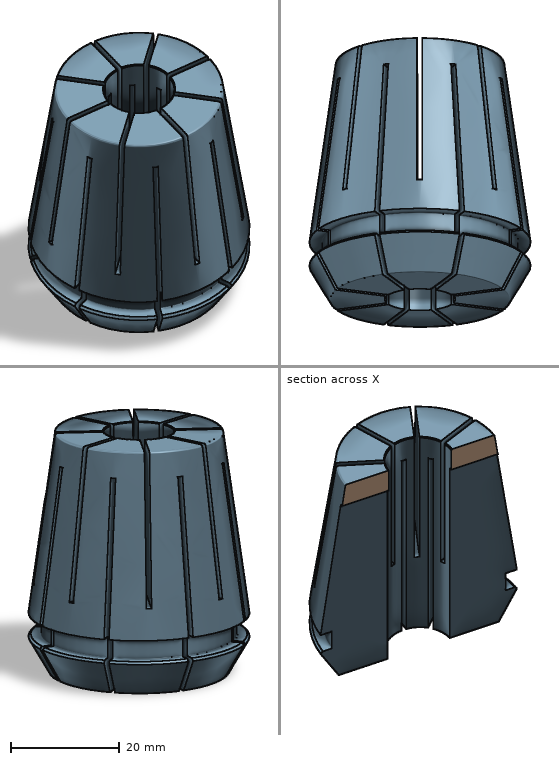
import cadquery as cq
import math

height = 46.0
max_radius = 41.0 / 2
bore_radius = 13.0 / 2
bore_chamfer = 0.2

taper_angle = 8.0
taper_bottom_z = 11.15
top_fillet = 0.5
top_radius = max_radius - (height - taper_bottom_z) * math.tan(math.radians(taper_angle))

groove_radius = 18.12
groove_bottom_z = 7.05
groove_root_fillet = 0.2
nose_angle = 30.0
nose_rim_chamfer = 0.45
nose_bottom_fillet = 0.28
nose_rim_z = groove_bottom_z - nose_rim_chamfer
nose_radius = max_radius - nose_rim_z * math.tan(math.radians(nose_angle))

slots_per_end = 8
slot_width = 0.95
slot_pitch = 360.0 / slots_per_end
slot_reach = 1.1 * max_radius
bottom_slot_end_z = 41.0
top_slot_end_z = 17.0


def solid_blank():
    """Revolve the outer profile about Z and round its edges."""
    profile = [
        (0, 0),
        (nose_radius, 0),
        (max_radius, nose_rim_z),
        (max_radius - nose_rim_chamfer, groove_bottom_z),
        (groove_radius, groove_bottom_z),
        (groove_radius, taper_bottom_z),
        (max_radius, taper_bottom_z),
        (top_radius, height),
        (0, height),
    ]
    blank = cq.Workplane("XZ").polyline(profile).close().revolve(360, (0, 0, 0), (0, 1, 0))
    blank = blank.faces(">Z").edges().fillet(top_fillet)
    blank = blank.faces("<Z").edges().fillet(nose_bottom_fillet)

    margin = 0.05
    half_box = groove_radius + margin
    groove_box = cq.selectors.BoxSelector(
        (-half_box, -half_box, groove_bottom_z - margin),
        (half_box, half_box, taper_bottom_z + margin),
        boundingbox=True,
    )
    return blank.edges("%CIRCLE").edges(groove_box).fillet(groove_root_fillet)


def bore_cutter():
    """Through bore with a small chamfer at its top mouth."""
    profile = [
        (0, 0),
        (bore_radius, 0),
        (bore_radius, height - bore_chamfer),
        (bore_radius + bore_chamfer, height),
        (0, height),
    ]
    return cq.Workplane("XZ").polyline(profile).close().revolve(360, (0, 0, 0), (0, 1, 0))


def slot_ring(bottom_z, top_z, first_angle):
    """Ring of radial slot cutters running from the axis out past the body."""
    slot = cq.Workplane("XY").box(slot_reach, slot_width, top_z - bottom_z, centered=(False, True, False))
    slot = slot.translate((0, 0, bottom_z))
    ring = slot.rotate((0, 0, 0), (0, 0, 1), first_angle)
    for index in range(1, slots_per_end):
        ring = ring.union(slot.rotate((0, 0, 0), (0, 0, 1), first_angle + index * slot_pitch))
    return ring


bottom_slots = slot_ring(0, bottom_slot_end_z, 0)
top_slots = slot_ring(top_slot_end_z, height, slot_pitch / 2)

result = solid_blank().cut(bore_cutter()).cut(bottom_slots).cut(top_slots)